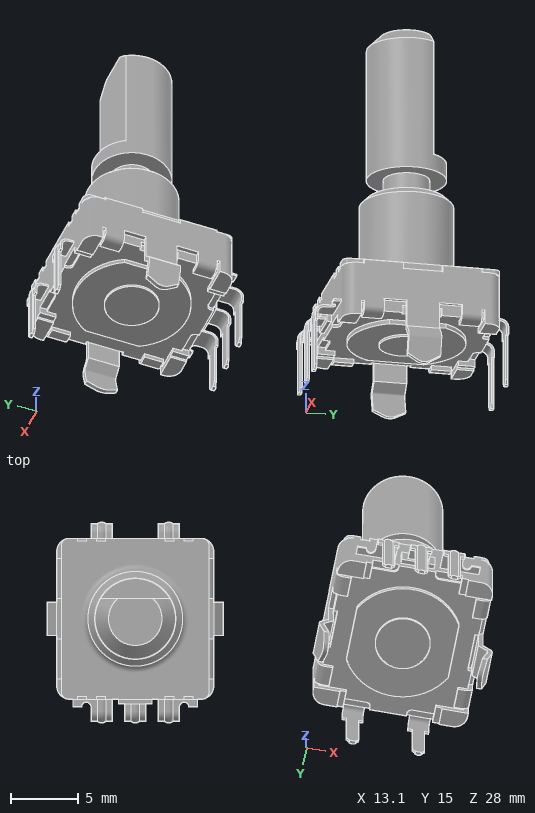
import cadquery as cq
import math


body_x = 11.7
body_y = 11.98
body_top = 4.5
corner_radius = 1.0
half_x = body_x / 2
half_y = body_y / 2

sheet = 0.35
frame_half_y = 4.48
fold_radius = 0.42
plate_corner_radius = 0.5
ledge_depth = 0.42
middle_notch_half_y = 1.5
middle_notch_depth = 0.62
plate_half_x = half_x - sheet

edge_notch_positions = (2.55, 3.95)
edge_notch_width = 0.67
edge_notch_depth = 0.2

foot_inner_x = 3.85
foot_inner_y = 4.7
underside_z = 0.5
core_z = 0.17
wall_inner_x = 3.4
foot_gap_top = 1.05
window_top = 1.37
window_outer_y = 2.97
tab_radius = 0.6
tab_length = 1.12
core_radius = 4.42
core_flat_x = foot_inner_x
boss_radius = 2.05
terminal_notch_inner_x = 1.4
terminal_notch_top = 0.73
terminal_notch_depth = 0.55
terminal_notch_fillet = 0.35
leg_recess_half_y = 1.48
leg_recess_top = 1.05
leg_recess_depth = 0.28

bushing_radius = 3.53
bushing_length = 7.0
bushing_top = body_top + bushing_length
bushing_chamfer = 0.5
bushing_fillet = 0.5
neck_radius = 1.75
shaft_radius = 3.0
shaft_bottom = 13.2
shaft_top = 24.5
shaft_chamfer = 1.0
flat_offset = 1.5
flat_length = 10.0

leg_width = 2.5
part_bottom = -3.5
leg_elbow_x = 6.55
leg_elbow_z = -1.6
leg_elbow_radius = 0.55
leg_flare_angle = 45.0
leg_return_angle = 15.6
leg_taper_z = -2.97
leg_tip_half_width = 0.42
leg_tip_z = -3.42

terminal_pitch = 2.5
terminal_z = 1.35
terminal_thickness = 0.17
rib_width = 0.62
rib_height = 0.1
wing_width = 1.57
wing_bottom = 0.35
pin_width = 0.92
pin_tip_width = 0.45
pin_tip_height = 0.35
bend_inner_radius = 0.5
front_reach = 7.75
back_reach = 7.2
terminal_embed = 0.28
terminal_root_y = half_y - terminal_embed

flange_outer_x = 4.65
flange_depth = 0.55
flange_notch_x = 3.65
flange_notch_radius = 0.35
pad_half_width = 1.25
pad_bottom = 1.0
pad_top = 2.32
pad_depth = 0.35


def block(x0, x1, y0, y1, z0, z1):
    """Axis-aligned box between two opposite corners."""
    return cq.Workplane("XY").box(x1 - x0, y1 - y0, z1 - z0, centered=False).translate((x0, y0, z0))


def both_x(shape):
    """The shape together with its mirror image across the YZ plane."""
    return shape.union(shape.mirror("YZ"))


def both_y(shape):
    """The shape together with its mirror image across the XZ plane."""
    return shape.union(shape.mirror("XZ"))


def make_housing():
    ledge_z = body_top - ledge_depth
    lower = cq.Workplane("XY").rect(body_x, body_y).extrude(ledge_z).edges("|Z").fillet(corner_radius)
    plate = (
        cq.Workplane("XY", origin=(0, 0, ledge_z))
        .rect(2 * plate_half_x, body_y)
        .extrude(ledge_depth)
        .edges("|Z")
        .fillet(plate_corner_radius)
    )
    folds = (
        block(-half_x, half_x, -frame_half_y, frame_half_y, window_top, body_top)
        .edges("|Y and >Z")
        .fillet(fold_radius)
    )
    housing = lower.union(plate).union(folds)
    notch_floor = body_top - middle_notch_depth
    middle_notch = block(
        plate_half_x, half_x, -middle_notch_half_y, middle_notch_half_y, notch_floor, body_top
    )
    housing = housing.cut(both_x(middle_notch))
    for x in edge_notch_positions:
        notch = block(
            x - edge_notch_width / 2,
            x + edge_notch_width / 2,
            half_y - edge_notch_depth,
            half_y,
            ledge_z,
            body_top,
        )
        housing = housing.cut(both_x(both_y(notch)))
    return housing


def cut_underside(housing):
    housing = housing.cut(block(-half_x, half_x, -foot_inner_y, foot_inner_y, 0, underside_z))
    housing = housing.cut(block(-foot_inner_x, foot_inner_x, -half_y, half_y, 0, core_z))
    housing = housing.cut(block(-wall_inner_x, wall_inner_x, -half_y, half_y, 0, underside_z))
    terminal_notch = block(
        terminal_notch_inner_x,
        wall_inner_x,
        half_y - terminal_notch_depth,
        half_y,
        0,
        terminal_notch_top,
    )
    terminal_notch = terminal_notch.edges("|Z and <X and <Y").fillet(terminal_notch_fillet)
    housing = housing.cut(both_x(both_y(terminal_notch)))
    tab_opening = block(plate_half_x, half_x, window_outer_y, foot_inner_y, 0, foot_gap_top)
    window = block(plate_half_x, half_x, 0, window_outer_y, 0, window_top)
    leg_recess = block(plate_half_x - leg_recess_depth, half_x, 0, leg_recess_half_y, 0, leg_recess_top)
    return housing.cut(both_x(both_y(tab_opening.union(window).union(leg_recess))))


def make_frame_tabs():
    """Frame tabs folded inward under the housing."""
    tab = (
        block(half_x - tab_length, half_x, window_outer_y, frame_half_y, core_z, window_top)
        .edges("|Y and >X and <Z")
        .fillet(tab_radius)
    )
    return both_x(both_y(tab))


def make_core():
    """Round base of the housing, flattened on the +X and -X sides, with a boss under it."""
    core = cq.Workplane("XY", origin=(0, 0, core_z)).circle(core_radius).extrude(underside_z - core_z)
    core = core.intersect(block(-core_flat_x, core_flat_x, -core_radius, core_radius, core_z, underside_z))
    return core.union(cq.Workplane("XY").circle(boss_radius).extrude(underside_z))


def make_bushing_and_shaft():
    profile = (
        cq.Workplane("XZ")
        .moveTo(0, body_top - sheet)
        .lineTo(bushing_radius + bushing_fillet, body_top - sheet)
        .lineTo(bushing_radius + bushing_fillet, body_top)
        .radiusArc((bushing_radius, body_top + bushing_fillet), bushing_fillet)
        .lineTo(bushing_radius, bushing_top - bushing_chamfer)
        .lineTo(bushing_radius - bushing_chamfer, bushing_top)
        .lineTo(neck_radius, bushing_top)
        .lineTo(neck_radius, shaft_bottom)
        .lineTo(shaft_radius, shaft_bottom)
        .lineTo(shaft_radius, shaft_top - shaft_chamfer)
        .lineTo(shaft_radius - shaft_chamfer, shaft_top)
        .lineTo(0, shaft_top)
        .close()
    )
    turned = profile.revolve(360, (0, 0, 0), (0, 1, 0))
    flat = block(-shaft_radius, shaft_radius, flat_offset, shaft_radius, shaft_top - flat_length, shaft_top)
    return turned.cut(flat)


def elbow_point(radius, angle):
    """Point on an elbow arc, at an angle in degrees above +X."""
    turn = math.radians(angle)
    centre_x = leg_elbow_x - leg_elbow_radius
    return centre_x + radius * math.cos(turn), leg_elbow_z + radius * math.sin(turn)


def leg_face(wall_x, radius):
    """Knee, elbow start, elbow middle, elbow end and tip of one face of the sheet."""
    start = elbow_point(radius, leg_flare_angle)
    middle = elbow_point(radius, (leg_flare_angle - leg_return_angle) / 2)
    end = elbow_point(radius, -leg_return_angle)
    knee_z = start[1] + (start[0] - wall_x) / math.tan(math.radians(leg_flare_angle))
    tip_x = end[0] - (end[1] - part_bottom) * math.tan(math.radians(leg_return_angle))
    return (wall_x, knee_z), start, middle, end, (tip_x, part_bottom)


def make_snap_legs():
    outer_knee, outer_start, outer_middle, outer_end, outer_tip = leg_face(half_x, leg_elbow_radius)
    inner_knee, inner_start, inner_middle, inner_end, inner_tip = leg_face(
        plate_half_x, leg_elbow_radius - sheet
    )
    bent = (
        cq.Workplane("XZ", origin=(0, leg_width / 2, 0))
        .moveTo(plate_half_x, window_top)
        .lineTo(half_x, window_top)
        .lineTo(*outer_knee)
        .lineTo(*outer_start)
        .threePointArc(outer_middle, outer_end)
        .lineTo(*outer_tip)
        .lineTo(*inner_tip)
        .lineTo(*inner_end)
        .threePointArc(inner_middle, inner_start)
        .lineTo(*inner_knee)
        .close()
        .extrude(leg_width)
    )
    outline = (
        cq.Workplane("YZ")
        .moveTo(-leg_width / 2, window_top)
        .lineTo(-leg_width / 2, leg_taper_z)
        .lineTo(-leg_tip_half_width, leg_tip_z)
        .threePointArc((0, part_bottom), (leg_tip_half_width, leg_tip_z))
        .lineTo(leg_width / 2, leg_taper_z)
        .lineTo(leg_width / 2, window_top)
        .close()
        .extrude(leg_elbow_x)
    )
    return both_x(bent.intersect(outline))


def make_terminal(x, reach):
    """Terminal leaving the +Y face: flat strip bent down into a pin, with a rounded rib outside."""
    pin_y = reach - rib_height
    top = terminal_z + terminal_thickness
    outer_radius = bend_inner_radius + terminal_thickness
    strip = (
        cq.Workplane("YZ", origin=(-wing_width / 2, 0, 0))
        .moveTo(terminal_root_y, terminal_z)
        .lineTo(terminal_root_y, top)
        .lineTo(pin_y - outer_radius, top)
        .radiusArc((pin_y, top - outer_radius), outer_radius)
        .lineTo(pin_y, part_bottom)
        .lineTo(pin_y - terminal_thickness, part_bottom)
        .lineTo(pin_y - terminal_thickness, terminal_z - bend_inner_radius)
        .radiusArc((pin_y - outer_radius, terminal_z), -bend_inner_radius)
        .close()
        .extrude(wing_width)
    )
    rib_path = (
        cq.Workplane("YZ")
        .moveTo(terminal_root_y, top)
        .lineTo(pin_y - outer_radius, top)
        .radiusArc((pin_y, top - outer_radius), outer_radius)
        .lineTo(pin_y, part_bottom)
    )
    rib = (
        cq.Workplane("XZ", origin=(0, terminal_root_y, 0))
        .moveTo(-rib_width / 2, top)
        .threePointArc((0, top + rib_height), (rib_width / 2, top))
        .close()
        .sweep(rib_path)
    )
    outline = (
        cq.Workplane("XZ")
        .moveTo(pin_tip_width / 2, part_bottom)
        .lineTo(pin_width / 2, part_bottom + pin_tip_height)
        .lineTo(pin_width / 2, wing_bottom)
        .lineTo(wing_width / 2, wing_bottom)
        .lineTo(wing_width / 2, top + rib_height)
        .lineTo(0, top + rib_height)
        .lineTo(0, part_bottom)
        .close()
        .extrude(-reach)
    )
    return strip.union(rib).intersect(both_x(outline)).translate((x, 0, 0))


def make_terminals():
    terminals = make_terminal(0, front_reach).mirror("XZ")
    for x in (-terminal_pitch, terminal_pitch):
        terminals = terminals.union(make_terminal(x, front_reach).mirror("XZ"))
        terminals = terminals.union(make_terminal(x, back_reach))
    return terminals


def make_front_details():
    flange_y = half_y + flange_depth
    flange_top = terminal_z + terminal_thickness
    flange = block(terminal_pitch, flange_outer_x, -flange_y, -terminal_root_y, terminal_z, flange_top)
    notch = (
        cq.Workplane("XY", origin=(flange_notch_x, -flange_y, terminal_z))
        .circle(flange_notch_radius)
        .extrude(terminal_thickness)
    )
    pad = block(-pad_half_width, pad_half_width, -half_y - pad_depth, -terminal_root_y, pad_bottom, pad_top)
    return both_x(flange.cut(notch)).union(pad)


result = (
    cut_underside(make_housing())
    .union(make_frame_tabs())
    .union(make_core())
    .union(make_bushing_and_shaft())
    .union(make_snap_legs())
    .union(make_terminals())
    .union(make_front_details())
)